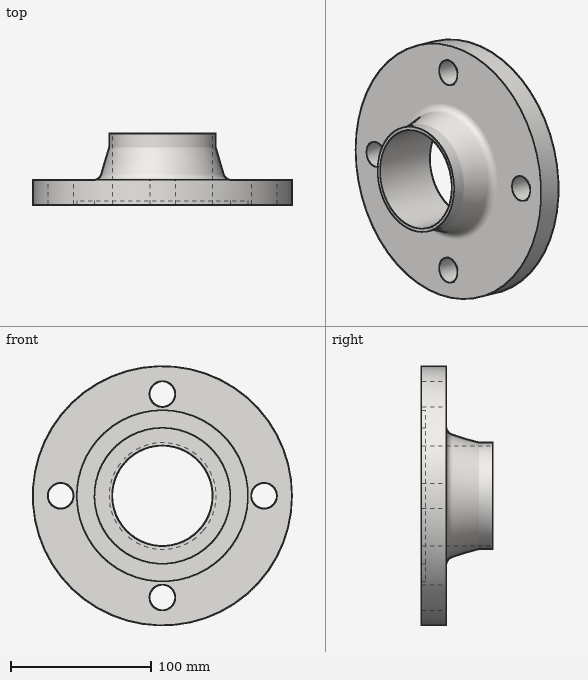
import cadquery as cq
import math

flange_radius = 92.5
flange_thickness = 18.0
total_length = 51.0
bore_radius = 35.7

pipe_radius = 38.1
pipe_end_length = 10.0
hub_base_radius = 45.0
hub_fillet = 6.0

groove_inner_radius = 48.5
groove_outer_radius = 61.0
groove_depth = 3.0

bolt_circle_radius = 72.5
bolt_hole_radius = 9.0
bolt_count = 4


def make_body():
    """Revolve the solid flange and hub, then round the hub root."""
    profile = (
        cq.Workplane("XY")
        .lineTo(flange_radius, 0)
        .lineTo(flange_radius, flange_thickness)
        .lineTo(hub_base_radius, flange_thickness)
        .lineTo(pipe_radius, total_length - pipe_end_length)
        .lineTo(pipe_radius, total_length)
        .lineTo(0, total_length)
        .close()
    )
    body = profile.revolve(360, (0, 0, 0), (0, 1, 0))
    root_edge = cq.selectors.RadiusNthSelector(1)
    return body.edges("%CIRCLE").edges(root_edge).fillet(hub_fillet)


def cylinder(radius, length, x=0, z=0):
    """Cylinder running from the front face along +Y."""
    return cq.Workplane(cq.Solid.makeCylinder(radius, length, cq.Vector(x, 0, z), cq.Vector(0, 1, 0)))


groove = cylinder(groove_outer_radius, groove_depth).cut(cylinder(groove_inner_radius, groove_depth))

result = make_body().cut(cylinder(bore_radius, total_length)).cut(groove)
for index in range(bolt_count):
    angle = 2 * math.pi * index / bolt_count
    x = bolt_circle_radius * math.cos(angle)
    z = bolt_circle_radius * math.sin(angle)
    result = result.cut(cylinder(bolt_hole_radius, flange_thickness, x, z))